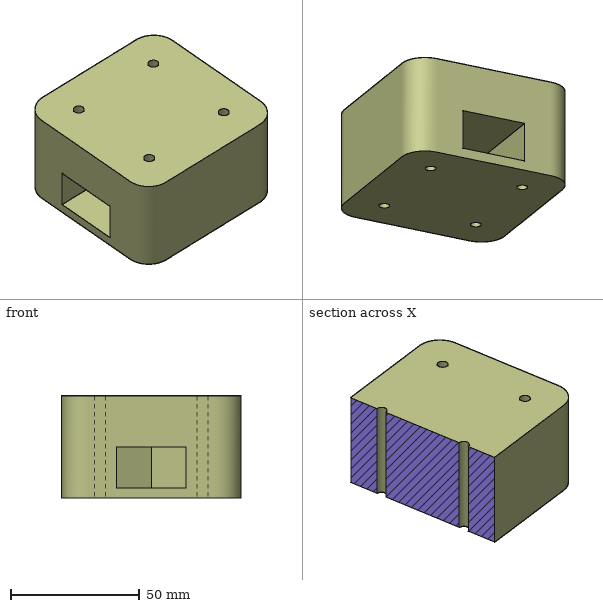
import cadquery as cq
import math

side = 70.0
height = 40.0
corner_radius = 10.0

hole_diameter = 4.2
hole_spacing = 40.0

pocket_width = 27.0
pocket_height = 16.0
pocket_floor = 4.0

half_width = pocket_width / 2
flat_end = half_width * math.tan(math.radians(30))
apex = half_width / math.cos(math.radians(30))


def make_block():
    block = cq.Workplane("XY").rect(side, side).extrude(height)
    return block.edges("|Z").fillet(corner_radius)


def make_pocket():
    """Straight-sided slot whose inner end is two faces meeting at 120 degrees."""
    front = -side / 2
    return (
        cq.Workplane("XY", origin=(0, 0, pocket_floor))
        .moveTo(-half_width, front)
        .lineTo(half_width, front)
        .lineTo(half_width, flat_end)
        .lineTo(0, apex)
        .lineTo(-half_width, flat_end)
        .close()
        .extrude(pocket_height)
    )


def make_holes():
    return (
        cq.Workplane("XY")
        .rarray(hole_spacing, hole_spacing, 2, 2)
        .circle(hole_diameter / 2)
        .extrude(height)
    )


result = make_block().cut(make_pocket()).cut(make_holes())